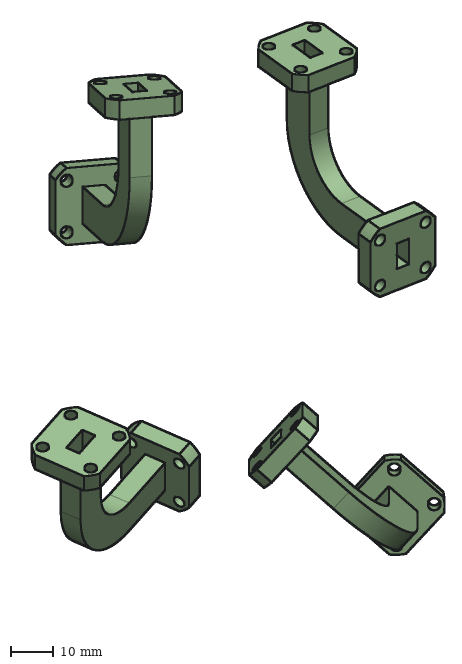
import cadquery as cq

overall = 47.6
flange_size = 19.05
flange_thickness = 4.8
flange_corner_diameter = 23.4
hole_diameter = 2.95
hole_spacing_in_bend = 12.7
hole_spacing_across = 13.45
guide_height = 9.15
guide_width = 5.55
bore_height = 7.1
bore_width = 3.55
bend_radius = 17.3

leg_length = overall - flange_size / 2
straight_length = leg_length - bend_radius

inlet_plane = cq.Plane(origin=(0, 0, 0), xDir=(0, 0, 1), normal=(1, 0, 0))
outlet_plane = cq.Plane(origin=(leg_length, 0, leg_length), xDir=(1, 0, 0), normal=(0, 0, -1))


def bent_bar(height, width):
    """Rectangular bar swept along the centreline from one flange face to the other."""
    inner_radius = bend_radius - height / 2
    outer_radius = bend_radius + height / 2
    inner_level = height / 2
    inner_wall = leg_length - height / 2
    outer_wall = leg_length + height / 2
    return (
        cq.Workplane("XZ")
        .moveTo(0, inner_level)
        .lineTo(straight_length, inner_level)
        .radiusArc((inner_wall, bend_radius), -inner_radius)
        .lineTo(inner_wall, leg_length)
        .lineTo(outer_wall, leg_length)
        .lineTo(outer_wall, bend_radius)
        .radiusArc((straight_length, -inner_level), outer_radius)
        .lineTo(0, -inner_level)
        .close()
        .extrude(width / 2, both=True)
    )


def flange(plane):
    """Square flange with circular corners and four holes, built inwards from its outer face."""
    square = cq.Workplane(plane).rect(flange_size, flange_size).extrude(flange_thickness)
    disc = cq.Workplane(plane).circle(flange_corner_diameter / 2).extrude(flange_thickness)
    holes = (
        cq.Workplane(plane)
        .rect(hole_spacing_in_bend, hole_spacing_across, forConstruction=True)
        .vertices()
        .circle(hole_diameter / 2)
        .extrude(flange_thickness)
    )
    return square.intersect(disc).cut(holes)


result = (
    bent_bar(guide_height, guide_width)
    .union(flange(inlet_plane))
    .union(flange(outlet_plane))
    .cut(bent_bar(bore_height, bore_width))
)